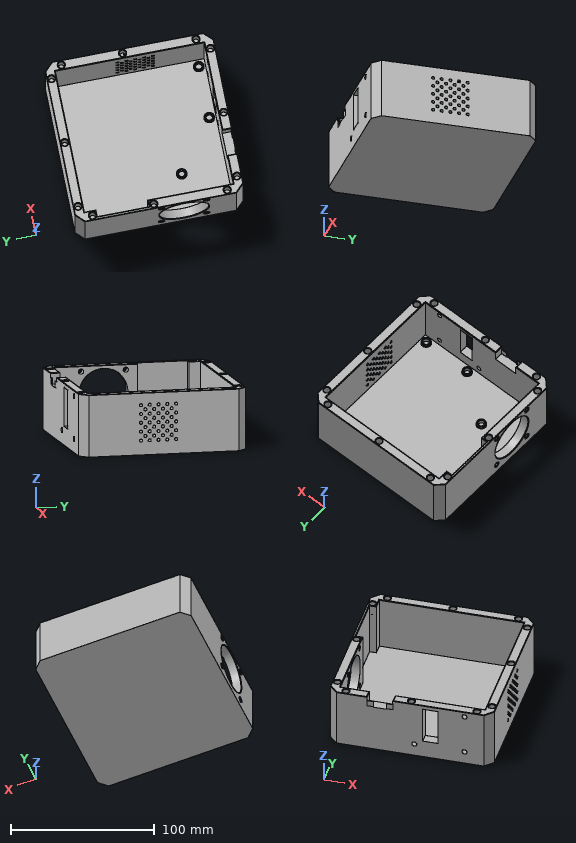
import cadquery as cq
length_x = 117.9
length_y = 119.3
height = 44.0
corner_cut = 6.0
wall = 6.9
floor = 4.0
edge_chamfer = 0.5
outer_chamfer = 0.4

recess_wall = 2.0
recess_y_min = 7.9
recess_y_max = 44.6

insert_diameter = 4.7
rim_hole_depth = 8.0
rim_hole_x = 47.1
rim_hole_y = 47.7
rim_hole_middle_y = 4.3
rim_side_offset = 3.3
rim_end_offset = 3.3

boss_diameter = 6.5
boss_height = 2.0
boss_hole_depth = 3.6
boss_points = [(-26.7, -21.2), (9.5, -48.0), (47.1, -48.0)]

notch_center_x = -21.8
notch_width = 18.5
notch_throat_width = 9.3
notch_bottom = 36.0
notch_step = 40.8
notch_skin = 0.6

slot_x_min = 9.0
slot_x_max = 19.9
slot_bottom = 13.5
slot_top = 40.9
screw_diameter = 3.5
front_screw_points = [(2.9, 9.8), (39.0, 9.8), (39.0, 40.0)]

fan_y = -16.6
fan_z = 24.0
fan_diameter = 35.0
fan_screw_pitch = 32.0

vent_diameter = 2.0
vent_span = 25.0
vent_count = 5
vent_pitch = vent_span / (vent_count - 1)
vent_y = -3.9
vent_z = 22.8

half_x = length_x / 2
half_y = length_y / 2


def block(x_min, x_max, y_min, y_max, z_min, z_max):
    size = (x_max - x_min, y_max - y_min, z_max - z_min)
    return cq.Workplane("XY").box(*size, centered=False).translate((x_min, y_min, z_min))


def holes_along_x(points, diameter, x_start, depth):
    """Cylinders pointing +X, centred on (y, z) points."""
    plane = cq.Workplane("YZ", origin=(x_start, 0, 0))
    return plane.pushPoints(points).circle(diameter / 2).extrude(depth)


def holes_along_y(points, diameter, y_start, depth):
    """Cylinders pointing +Y, centred on (x, z) points."""
    plane = cq.Workplane("XZ", origin=(0, y_start, 0))
    return plane.pushPoints(points).circle(diameter / 2).extrude(-depth)


def chamfered_hole(diameter, depth):
    """Hole going down from the origin, widened by a chamfer at its mouth."""
    radius = diameter / 2
    profile = [
        (0, 0),
        (radius + edge_chamfer, 0),
        (radius, -edge_chamfer),
        (radius, -depth),
        (0, -depth),
    ]
    return cq.Workplane("XZ").polyline(profile).close().revolve(360, (0, 0, 0), (0, 1, 0))


def make_shell():
    body = cq.Workplane("XY").rect(length_x, length_y).extrude(height)
    body = body.edges("|Z").chamfer(corner_cut)
    body = body.faces(">Z").edges().chamfer(outer_chamfer)
    inner_x = half_x - wall
    inner_y = half_y - wall
    body = body.cut(block(-inner_x, inner_x, -inner_y, inner_y, floor, height))
    body = body.cut(block(recess_wall - half_x, 0, recess_y_min, recess_y_max, floor, height))
    mouth = body.faces(">Z").val().innerWires()[0]
    return body.newObject(mouth.Edges()).chamfer(edge_chamfer)


def add_bosses(body):
    top = floor + boss_height
    radius = boss_diameter / 2
    profile = [
        (0, 0),
        (radius + edge_chamfer, 0),
        (radius, edge_chamfer),
        (radius, boss_height),
        (0, boss_height),
    ]
    boss = cq.Workplane("XZ").polyline(profile).close().revolve(360, (0, 0, 0), (0, 1, 0))
    hole = chamfered_hole(insert_diameter, boss_hole_depth)
    for x, y in boss_points:
        body = body.union(boss.translate((x, y, floor)))
        body = body.cut(hole.translate((x, y, top)))
    return body


def cut_rim_holes(body):
    side_x = half_x - rim_side_offset
    end_y = half_y - rim_end_offset
    points = [(x, y) for x in (-rim_hole_x, 0, rim_hole_x) for y in (-end_y, end_y)]
    points += [(x, y) for x in (-side_x, side_x) for y in (-rim_hole_y, rim_hole_middle_y, rim_hole_y)]
    hole = chamfered_hole(insert_diameter, rim_hole_depth)
    for x, y in points:
        body = body.cut(hole.translate((x, y, height)))
    return body


def cut_notch(body):
    x_min = notch_center_x - notch_width / 2
    x_max = notch_center_x + notch_width / 2
    throat_min = notch_center_x - notch_throat_width / 2
    throat_max = notch_center_x + notch_throat_width / 2
    inner_y = wall - half_y
    body = body.cut(block(x_min, x_max, notch_skin - half_y, inner_y, notch_bottom, height))
    body = body.cut(block(x_min, x_max, -half_y, inner_y, notch_step, height))
    body = body.cut(block(throat_min, throat_max, -half_y, inner_y, notch_bottom, height))
    around_mouth = cq.selectors.BoxSelector(
        (x_min - edge_chamfer, -half_y, height - edge_chamfer),
        (x_max + edge_chamfer, inner_y, height + edge_chamfer),
    )
    return body.faces(">Z").edges("|Y").edges(around_mouth).chamfer(edge_chamfer)


def cut_fan_opening(body):
    reach = fan_screw_pitch / 2
    corners = [(dy, dz) for dy in (-reach, reach) for dz in (-reach, reach)]
    bore = chamfered_hole(fan_diameter, wall)
    screw = chamfered_hole(screw_diameter, wall)
    for hole, dy, dz in [(bore, 0, 0)] + [(screw, dy, dz) for dy, dz in corners]:
        sideways = hole.rotate((0, 0, 0), (0, 1, 0), -90)
        body = body.cut(sideways.translate((-half_x, fan_y + dy, fan_z + dz)))
    return body


def vent_grid(count):
    """Square grid of (y, z) points about the vent centre."""
    steps = [(i - (count - 1) / 2) * vent_pitch for i in range(count)]
    return [(vent_y + dy, vent_z + dz) for dy in steps for dz in steps]


result = make_shell()
result = cut_notch(result)
result = add_bosses(result)
result = cut_rim_holes(result)
result = result.cut(block(slot_x_min, slot_x_max, -half_y, wall - half_y, slot_bottom, slot_top))
result = result.cut(holes_along_y(front_screw_points, screw_diameter, -half_y, wall))
result = cut_fan_opening(result)
vent_points = vent_grid(vent_count) + vent_grid(vent_count - 1)
result = result.cut(holes_along_x(vent_points, vent_diameter, half_x - wall, wall))